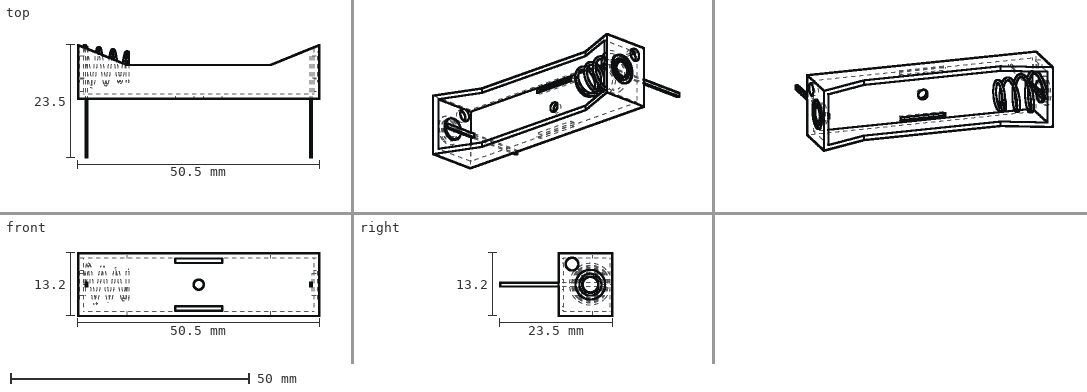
import cadquery as cq
import math

LENGTH = 50.5
HEIGHT = 13.2
TOTAL_DEPTH = 23.5
DEPTH = 11.25
MIDDLE_DEPTH = 7.1
SLOPE_LENGTH = 10.2
END_WALL = 1.1
SIDE_WALL = 1.0
FLOOR = 1.0

SLOT_LENGTH = 9.8
SLOT_WIDTH = 0.9
SLOT_Z = 5.0
CENTER_HOLE_DIAMETER = 2.05
END_HOLE_DIAMETER = 2.65
END_HOLE_Y = 2.85
END_HOLE_Z = 4.3

AXIS_Y = 6.65
RECESS_DIAMETER = 6.2
RECESS_DEPTH = 0.35
RIVET_DIAMETER = 4.6
RIVET_STEP_SETBACK = 0.2
BOSS_DIAMETER = 3.5
BOSS_TOP_DIAMETER = 3.25
BOSS_SETBACK = 0.05
PIN_THICKNESS = 0.5
PIN_WIDTH = 0.8
PIN_LENGTH = TOTAL_DEPTH - DEPTH
PIN_SETBACK = 1.5

WIRE_DIAMETER = 0.6
SPRING_PITCH = 3.0
SPRING_TURNS = 3
SPRING_BASE_RADIUS = 4.3
SPRING_TIP_RADIUS = 3.0
SPRING_SETBACK = END_WALL + WIRE_DIAMETER / 2

HALF_LENGTH = LENGTH / 2
HALF_HEIGHT = HEIGHT / 2
CAVITY_LENGTH = LENGTH - 2 * END_WALL
CAVITY_HEIGHT = HEIGHT - 2 * SIDE_WALL


def box(x_range, y_range, z_range):
    """Box between the given limits."""
    (x0, x1), (y0, y1), (z0, z1) = x_range, y_range, z_range
    return cq.Workplane("XY").box(x1 - x0, y1 - y0, z1 - z0, centered=False).translate((x0, y0, z0))


def rod_along_x(diameter, x_start, x_end, y=AXIS_Y, z=0.0):
    """Round rod parallel to X."""
    circle = cq.Workplane("YZ", origin=(x_start, y, z)).circle(diameter / 2)
    return circle.extrude(x_end - x_start)


def mirrored(body):
    """The same body at the opposite end of the housing."""
    return body.mirror("YZ")


def make_pin(top_y):
    """Flat pin at the -X end, from its free tip up to top_y."""
    pin_x = -HALF_LENGTH + PIN_SETBACK
    return box((pin_x, pin_x + PIN_THICKNESS), (-PIN_LENGTH, top_y), (-PIN_WIDTH / 2, PIN_WIDTH / 2))


def make_rivet():
    """Stepped rivet at the -X end, reaching through the end wall to the pin."""
    step_x = -HALF_LENGTH + RIVET_STEP_SETBACK
    boss_height = RIVET_STEP_SETBACK - BOSS_SETBACK
    shank = rod_along_x(RIVET_DIAMETER, step_x, -HALF_LENGTH + PIN_SETBACK)
    boss = (
        cq.Workplane("YZ", origin=(step_x, AXIS_Y, 0))
        .circle(BOSS_DIAMETER / 2)
        .workplane(offset=-boss_height)
        .circle(BOSS_TOP_DIAMETER / 2)
        .loft()
    )
    return shank.union(boss)


def make_housing():
    outline = [
        (-HALF_LENGTH, 0),
        (HALF_LENGTH, 0),
        (HALF_LENGTH, DEPTH),
        (HALF_LENGTH - SLOPE_LENGTH, MIDDLE_DEPTH),
        (-HALF_LENGTH + SLOPE_LENGTH, MIDDLE_DEPTH),
        (-HALF_LENGTH, DEPTH),
    ]
    body = cq.Workplane("XY").polyline(outline).close().extrude(HALF_HEIGHT, both=True)

    body = body.cut(
        box(
            (-CAVITY_LENGTH / 2, CAVITY_LENGTH / 2),
            (FLOOR, DEPTH),
            (-CAVITY_HEIGHT / 2, CAVITY_HEIGHT / 2),
        )
    )

    for z in (-SLOT_Z, SLOT_Z):
        body = body.cut(
            box(
                (-SLOT_LENGTH / 2, SLOT_LENGTH / 2),
                (0, FLOOR),
                (z - SLOT_WIDTH / 2, z + SLOT_WIDTH / 2),
            )
        )
    center_hole = cq.Workplane("XZ").circle(CENTER_HOLE_DIAMETER / 2).extrude(-FLOOR)
    body = body.cut(center_hole)

    body = body.cut(rod_along_x(END_HOLE_DIAMETER, -HALF_LENGTH, HALF_LENGTH, END_HOLE_Y, END_HOLE_Z))

    recess = rod_along_x(RECESS_DIAMETER, -HALF_LENGTH, -HALF_LENGTH + RECESS_DEPTH)
    rivet_hole = rod_along_x(RIVET_DIAMETER, -HALF_LENGTH, -HALF_LENGTH + END_WALL)
    seat = recess.union(rivet_hole).union(make_pin(FLOOR))
    return body.cut(seat).cut(mirrored(seat))


def make_spring():
    """Conical coil that narrows toward +X and ends in a flat ring."""
    base_x = -HALF_LENGTH + SPRING_SETBACK
    rise = SPRING_TURNS * SPRING_PITCH
    taper_angle = math.degrees(math.atan((SPRING_BASE_RADIUS - SPRING_TIP_RADIUS) / rise))
    helix = cq.Wire.makeHelix(SPRING_PITCH, rise, SPRING_BASE_RADIUS, angle=-taper_angle)
    section = cq.Workplane("XZ", origin=(SPRING_BASE_RADIUS, 0, 0)).circle(WIRE_DIAMETER / 2)
    coil = section.sweep(cq.Workplane(obj=helix), isFrenet=True)
    ring = cq.Solid.makeTorus(SPRING_TIP_RADIUS, WIRE_DIAMETER / 2, cq.Vector(0, 0, rise))
    coil = coil.union(cq.Workplane(obj=ring))
    coil = coil.rotate((0, 0, 0), (1, 1, 1), 120)
    return coil.translate((base_x, AXIS_Y, 0))


def make_spring_contact():
    """Contact at the -X end: the pin runs up into the underside of the spring wire's start."""
    pin_top_y = AXIS_Y + SPRING_BASE_RADIUS - WIRE_DIAMETER / 4
    return make_pin(pin_top_y).union(make_rivet()).union(make_spring())


def make_flat_contact():
    """Contact at the +X end: pin and rivet only."""
    return mirrored(make_pin(AXIS_Y + RIVET_DIAMETER / 2).union(make_rivet()))


housing = make_housing()
spring_contact = make_spring_contact()
flat_contact = make_flat_contact()

result = cq.Compound.makeCompound(
    [
        *housing.solids().vals(),
        *spring_contact.solids().vals(),
        *flat_contact.solids().vals(),
    ]
)